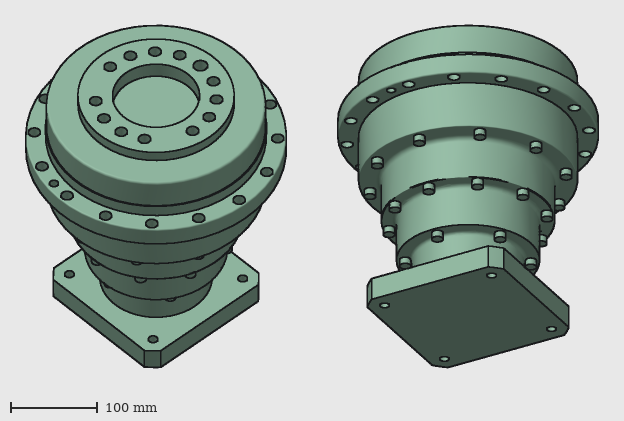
import cadquery as cq
import math

PLATE_TOP = 27.7
NECK_TOP = 75.5
LOWER_DRUM_TOP = 128.3
MIDDLE_DRUM_TOP = 181.3
FLANGE_BOTTOM = 238.7
FLANGE_TOP = 263.5
COLLAR_TOP = 278.5
HOUSING_TOP = 316.2
OUTPUT_TOP = 329.7

NECK_DIA = 130.0
LOWER_DRUM_DIA = 165.0
MIDDLE_DRUM_DIA = 200.0
HOUSING_DIA = 252.2
FLANGE_DIA = 300.0
COLLAR_DIA = 254.5
OUTPUT_DIA = 180.0

NECK_FILLET = 4.0
LOWER_DRUM_FILLET = 5.0
MIDDLE_DRUM_FILLET = 6.0
HOUSING_TOP_ROUND = 3.0
FLANGE_ROUND = 2.0
HOUSING_BOTTOM_ROUND = 1.0
DRUM_BOTTOM_ROUND = 0.5

PLATE_SIDE = 180.0
PLATE_FLAT = 153.5
PLATE_HOLE_SPACING = 141.0
PLATE_HOLE_DIA = 11.0

BOLT_DIA = 13.2
BOLT_HEIGHT = 8.2
NECK_BOLT_COUNT = 6
NECK_BOLT_RADIUS = 72.2
DRUM_BOLT_COUNT = 10
LOWER_BOLT_RADIUS = 92.5
MIDDLE_BOLT_RADIUS = 115.0

FLANGE_HOLE_COUNT = 16
FLANGE_HOLE_DIA = 14.0
FLANGE_HOLE_RADIUS = 140.0
FLANGE_PIN_DIA = 10.2
FLANGE_PIN_ANGLE = 80

BORE_DIA = 100.2
HOLE_DEPTH = 20.0
OUTPUT_HOLE_RADIUS = 70.0
OUTPUT_HOLE_PITCH = 24
OUTPUT_HOLE_STEPS = (1, 2, 3, 4, 6, 7, 8, 9, 11, 12, 13, 14)
TAPPED_DIA = 14.2
DRILL_POINT_ANGLE = 118
DOWEL_DIA = 16.5


def disc(diameter, bottom, top):
    """Cylinder on the Z axis between two levels."""
    return cq.Workplane("XY").workplane(offset=bottom).circle(diameter / 2).extrude(top - bottom)


def polar_points(radius, angles):
    """Points on a circle, at angles in degrees counted from +X."""
    return [
        (radius * math.cos(math.radians(angle)), radius * math.sin(math.radians(angle)))
        for angle in angles
    ]


def pins(points, diameter, bottom, top):
    """Vertical cylinders at the given points."""
    plane = cq.Workplane("XY").workplane(offset=bottom)
    return plane.pushPoints(points).circle(diameter / 2).extrude(top - bottom)


def root_fillet(diameter, top, radius):
    """Ring with a concave quarter-round, joining a step to the face above it."""
    step = diameter / 2
    centre = (step + radius, top - radius)
    middle = (centre[0] - radius * math.sqrt(0.5), centre[1] + radius * math.sqrt(0.5))
    return (
        cq.Workplane("XZ")
        .moveTo(step, top - radius)
        .threePointArc(middle, (step + radius, top))
        .lineTo(0, top)
        .lineTo(0, top - radius)
        .close()
        .revolve(360, (0, 0), (0, 1))
    )


def base_plate():
    corner_circle_dia = math.hypot(PLATE_SIDE, PLATE_FLAT)
    square = cq.Workplane("XY").rect(PLATE_SIDE, PLATE_SIDE).extrude(PLATE_TOP)
    plate = square.intersect(disc(corner_circle_dia, 0, PLATE_TOP))
    return (
        plate.faces(">Z")
        .workplane(origin=(0, 0, PLATE_TOP))
        .rect(PLATE_HOLE_SPACING, PLATE_HOLE_SPACING, forConstruction=True)
        .vertices()
        .hole(PLATE_HOLE_DIA)
    )


def stepped_body():
    lower_drum = disc(LOWER_DRUM_DIA, NECK_TOP, LOWER_DRUM_TOP)
    middle_drum = disc(MIDDLE_DRUM_DIA, LOWER_DRUM_TOP, MIDDLE_DRUM_TOP)
    housing = disc(HOUSING_DIA, MIDDLE_DRUM_TOP, HOUSING_TOP)
    flange = disc(FLANGE_DIA, FLANGE_BOTTOM, FLANGE_TOP)
    return (
        disc(NECK_DIA, PLATE_TOP, NECK_TOP)
        .union(root_fillet(NECK_DIA, NECK_TOP, NECK_FILLET))
        .union(lower_drum)
        .union(root_fillet(LOWER_DRUM_DIA, LOWER_DRUM_TOP, LOWER_DRUM_FILLET))
        .union(middle_drum.faces("<Z").edges().fillet(DRUM_BOTTOM_ROUND))
        .union(root_fillet(MIDDLE_DRUM_DIA, MIDDLE_DRUM_TOP, MIDDLE_DRUM_FILLET))
        .union(
            housing.faces(">Z").edges().fillet(HOUSING_TOP_ROUND)
            .faces("<Z").edges().fillet(HOUSING_BOTTOM_ROUND)
        )
        .union(flange.edges("%CIRCLE").fillet(FLANGE_ROUND))
        .union(disc(COLLAR_DIA, FLANGE_TOP, COLLAR_TOP))
        .union(disc(OUTPUT_DIA, HOUSING_TOP, OUTPUT_TOP))
    )


def bolt_heads(count, circle_radius, seat):
    """Ring of bolt heads under the face at level seat; the first one lies on +Y."""
    angles = [90 + 360 / count * index for index in range(count)]
    return pins(polar_points(circle_radius, angles), BOLT_DIA, seat - BOLT_HEIGHT, seat)


def flange_holes():
    pitch = 360 / FLANGE_HOLE_COUNT
    bolt_angles = [pitch * index for index in range(FLANGE_HOLE_COUNT)]
    pin_angles = [FLANGE_PIN_ANGLE, FLANGE_PIN_ANGLE + 180]
    bolts = pins(polar_points(FLANGE_HOLE_RADIUS, bolt_angles), FLANGE_HOLE_DIA, FLANGE_BOTTOM, FLANGE_TOP)
    dowels = pins(polar_points(FLANGE_HOLE_RADIUS, pin_angles), FLANGE_PIN_DIA, FLANGE_BOTTOM, FLANGE_TOP)
    return bolts.union(dowels)


def tapped_hole():
    """Blind hole with a drill point, its mouth at the origin."""
    radius = TAPPED_DIA / 2
    point_depth = radius / math.tan(math.radians(DRILL_POINT_ANGLE / 2))
    return (
        cq.Workplane("XZ")
        .polyline([(0, 0), (radius, 0), (radius, -HOLE_DEPTH), (0, -HOLE_DEPTH - point_depth)])
        .close()
        .revolve(360, (0, 0), (0, 1))
    )


def output_face_holes():
    """Central bore, tapped holes and the dowel hole on +Y."""
    floor = OUTPUT_TOP - HOLE_DEPTH
    holes = disc(BORE_DIA, floor, OUTPUT_TOP)
    holes = holes.union(pins([(0, OUTPUT_HOLE_RADIUS)], DOWEL_DIA, floor, OUTPUT_TOP))
    angles = [90 + OUTPUT_HOLE_PITCH * step for step in OUTPUT_HOLE_STEPS]
    for x, y in polar_points(OUTPUT_HOLE_RADIUS, angles):
        holes = holes.union(tapped_hole().translate((x, y, OUTPUT_TOP)))
    return holes


result = (
    base_plate()
    .union(stepped_body())
    .union(bolt_heads(NECK_BOLT_COUNT, NECK_BOLT_RADIUS, NECK_TOP))
    .union(bolt_heads(DRUM_BOLT_COUNT, LOWER_BOLT_RADIUS, LOWER_DRUM_TOP))
    .union(bolt_heads(DRUM_BOLT_COUNT, MIDDLE_BOLT_RADIUS, MIDDLE_DRUM_TOP))
    .cut(flange_holes())
    .cut(output_face_holes())
)